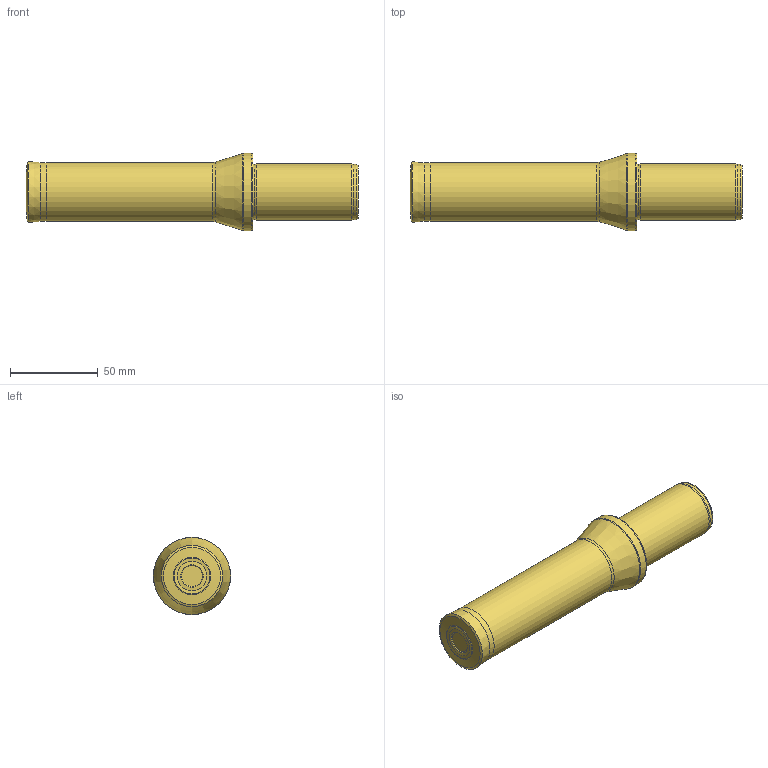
import math

import cadquery as cq

OVERALL_LENGTH = 189.0
BODY_RADIUS = 33.5 / 2
COLLAR_RADIUS = 44.0 / 2
SHANK_RADIUS = 32.0 / 2
RELIEF_RADIUS = 31.5 / 2

HEAD_END = 11.4
TAPER_END = 8.0
RIM_RADIUS = 17.4
RIM_X = 1.2
FACE_EDGE_RADIUS = 16.2
FACE_EDGE_X = 0.65

BOSS_RADIUS = 10.2
BOSS_BASE_RADIUS = 10.6
BOSS_HEIGHT = 0.2
GROOVE_RADIUS = 8.4
GROOVE_DEPTH = 0.2
RECESS_RADIUS = 6.5
RECESS_FLOOR_RADIUS = 6.0
RECESS_DEPTH = 0.5

FLARE_START = 107.0
FLARE_END = 123.75
FLARE_ANGLE = math.atan2(COLLAR_RADIUS - BODY_RADIUS, FLARE_END - FLARE_START)
START_BLEND_LENGTH = 0.8
END_BLEND_LENGTH = 0.35

COLLAR_END = 129.2
COLLAR_CHAMFER_LENGTH = 0.6
COLLAR_CHAMFER_DROP = 0.25

FRONT_RELIEF_END = 129.9
SHANK_START = 131.0
SHANK_END = 185.2
REAR_RELIEF_START = 186.3
END_CHAMFER_LENGTH = 1.0
END_CHAMFER_DROP = 0.5


def turn(profile):
    """Close a half profile along the axis and revolve it about X."""
    return profile.close().revolve(360, (0, 0, 0), (1, 0, 0))


def along_flare(x, radius, distance):
    """Point at a distance from (x, radius) in the direction of the flare cone."""
    return (x + distance * math.cos(FLARE_ANGLE), radius + distance * math.sin(FLARE_ANGLE))


def make_head():
    profile = (
        cq.Workplane("XZ")
        .moveTo(HEAD_END, 0)
        .lineTo(HEAD_END, BODY_RADIUS)
        .lineTo(TAPER_END, BODY_RADIUS)
        .lineTo(RIM_X, RIM_RADIUS)
        .lineTo(FACE_EDGE_X, FACE_EDGE_RADIUS)
        .lineTo(BOSS_HEIGHT, BOSS_BASE_RADIUS)
        .lineTo(0, BOSS_RADIUS)
        .lineTo(GROOVE_DEPTH, GROOVE_RADIUS)
        .lineTo(0, RECESS_RADIUS)
        .lineTo(RECESS_DEPTH, RECESS_FLOOR_RADIUS)
        .lineTo(RECESS_DEPTH, 0)
    )
    return turn(profile)


def make_holder():
    profile = (
        cq.Workplane("XZ")
        .moveTo(HEAD_END, 0)
        .lineTo(HEAD_END, BODY_RADIUS)
        .lineTo(FLARE_START - START_BLEND_LENGTH, BODY_RADIUS)
        .tangentArcPoint(along_flare(FLARE_START, BODY_RADIUS, START_BLEND_LENGTH), relative=False)
        .lineTo(*along_flare(FLARE_END, COLLAR_RADIUS, -END_BLEND_LENGTH))
        .tangentArcPoint((FLARE_END + END_BLEND_LENGTH, COLLAR_RADIUS), relative=False)
        .lineTo(COLLAR_END - COLLAR_CHAMFER_LENGTH, COLLAR_RADIUS)
        .lineTo(COLLAR_END, COLLAR_RADIUS - COLLAR_CHAMFER_DROP)
        .lineTo(COLLAR_END, RELIEF_RADIUS)
        .lineTo(FRONT_RELIEF_END, RELIEF_RADIUS)
        .lineTo(SHANK_START, SHANK_RADIUS)
        .lineTo(SHANK_END, SHANK_RADIUS)
        .lineTo(REAR_RELIEF_START, RELIEF_RADIUS)
        .lineTo(OVERALL_LENGTH - END_CHAMFER_LENGTH, RELIEF_RADIUS)
        .lineTo(OVERALL_LENGTH, RELIEF_RADIUS - END_CHAMFER_DROP)
        .lineTo(OVERALL_LENGTH, 0)
    )
    return turn(profile)


head = make_head()
holder = make_holder()
result = cq.Compound.makeCompound([head.val(), holder.val()])